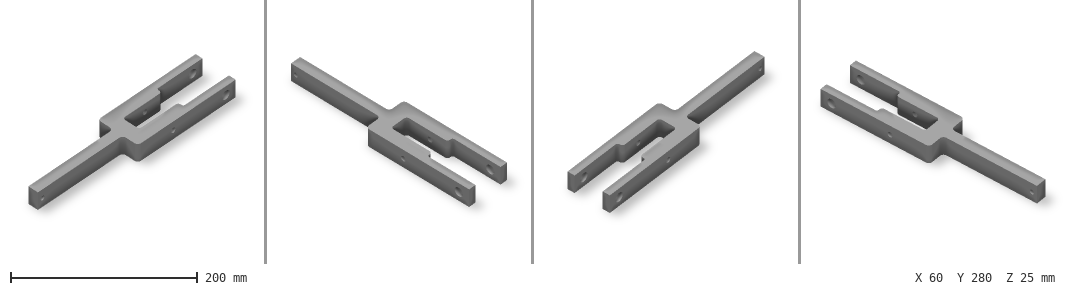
import cadquery as cq

length = 280.0
width = 60.0
thickness = 25.0

fork_length = 150.0
stem_width = 14.3
shoulder_radius = 5.0

arm_thickness = 10.0
wide_slot_depth = 70.0
slot_depth = 130.0
narrow_slot_width = 24.5
step_inner_radius = 2.5
step_outer_radius = 4.0
slot_bottom_radius = 4.0

axle_hole_diameter = 12.0
axle_hole_offset = 15.0
pin_hole_diameter = 7.0
pin_hole_offset = 95.8
stem_hole_diameter = 6.0
stem_hole_end_offset = 7.0

fork_end = length / 2
stem_end = -length / 2
shoulder_y = fork_end - fork_length
step_y = fork_end - wide_slot_depth
slot_bottom_y = fork_end - slot_depth
wide_slot_width = width - 2 * arm_thickness


def block(block_width, y_min, y_max):
    """Full-thickness block centred on X, spanning y_min to y_max."""
    return (
        cq.Workplane("XY")
        .box(block_width, y_max - y_min, thickness)
        .translate((0, (y_min + y_max) / 2, 0))
    )


def round_corners(body, half_width, y, radius):
    """Round the mirrored pair of vertical edges at x = +/-half_width."""
    margin = 0.15
    for x in (-half_width, half_width):
        selector = cq.selectors.BoxSelector(
            (x - margin, y - margin, -thickness),
            (x + margin, y + margin, thickness),
        )
        body = body.edges("|Z").edges(selector).fillet(radius)
    return body


def cross_hole(y, diameter):
    """Cylinder along X that passes through the whole width."""
    return cq.Workplane("YZ").center(y, 0).circle(diameter / 2).extrude(width, both=True)


body = block(width, shoulder_y, fork_end).union(block(stem_width, stem_end, shoulder_y))
body = body.cut(block(wide_slot_width, step_y, fork_end))
body = body.cut(block(narrow_slot_width, slot_bottom_y, step_y))

body = round_corners(body, width / 2, shoulder_y, shoulder_radius)
body = round_corners(body, stem_width / 2, shoulder_y, shoulder_radius)
body = round_corners(body, wide_slot_width / 2, step_y, step_inner_radius)
body = round_corners(body, narrow_slot_width / 2, step_y, step_outer_radius)
body = round_corners(body, narrow_slot_width / 2, slot_bottom_y, slot_bottom_radius)

cross_holes = (
    (fork_end - axle_hole_offset, axle_hole_diameter),
    (fork_end - pin_hole_offset, pin_hole_diameter),
    (stem_end + stem_hole_end_offset, stem_hole_diameter),
)
for hole_y, hole_diameter in cross_holes:
    body = body.cut(cross_hole(hole_y, hole_diameter))

result = body